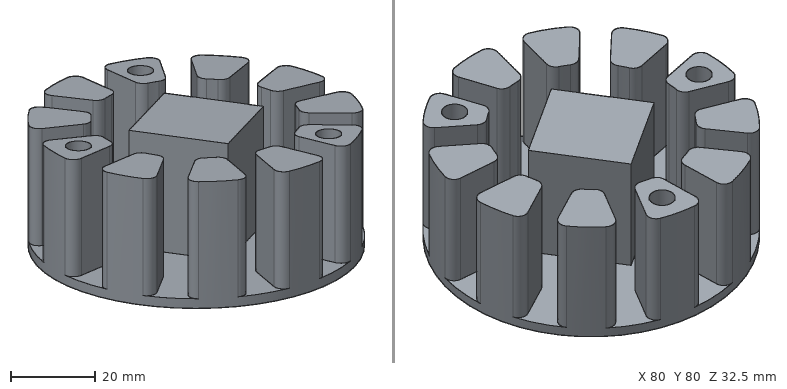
import cadquery as cq

outer_diameter = 80.0
base_thickness = 2.5
total_height = 32.5

tooth_count = 11
tooth_inner_radius = 25.0
gap_width = 7.5
corner_radius = 2.5
ring_rotation = 2.73

drilled_teeth = (0, 4, 7)
hole_diameter = 6.2
hole_circle_radius = 32.93
hole_offset_angle = -0.3

block_side = 25.0

outer_radius = outer_diameter / 2
tooth_height = total_height - base_thickness
tooth_pitch = 360.0 / tooth_count


def above_base():
    """Workplane on the top face of the base."""
    return cq.Workplane("XY").workplane(offset=base_thickness)


def turned(shape, position):
    """Copy of a shape turned about Z; whole positions are teeth, half positions are gaps."""
    angle = ring_rotation + position * tooth_pitch
    return shape.rotate((0, 0, 0), (0, 0, 1), angle)


def make_gap():
    """Cutter for one radial gap, running outward along the X axis."""
    return above_base().rect(outer_diameter, gap_width).extrude(tooth_height).translate((outer_radius, 0, 0))


def make_toothed_ring():
    """Round base carrying the ring of wedge-shaped teeth with rounded vertical edges."""
    ring = cq.Workplane("XY").circle(outer_radius).extrude(total_height)
    ring = ring.cut(above_base().circle(tooth_inner_radius).extrude(tooth_height))
    gap = make_gap()
    for tooth_index in range(tooth_count):
        ring = ring.cut(turned(gap, tooth_index + 0.5))

    return ring.edges("|Z").edges(">Z").fillet(corner_radius)


def make_block():
    return above_base().rect(block_side, block_side).extrude(tooth_height)


def make_hole():
    """Cutter for the screw hole of a tooth centred on the X axis."""
    hole = cq.Workplane("XY").center(hole_circle_radius, 0).circle(hole_diameter / 2).extrude(total_height)
    return hole.rotate((0, 0, 0), (0, 0, 1), hole_offset_angle)


result = make_toothed_ring().union(make_block())

screw_hole = make_hole()
for drilled_tooth in drilled_teeth:
    result = result.cut(turned(screw_hole, drilled_tooth))